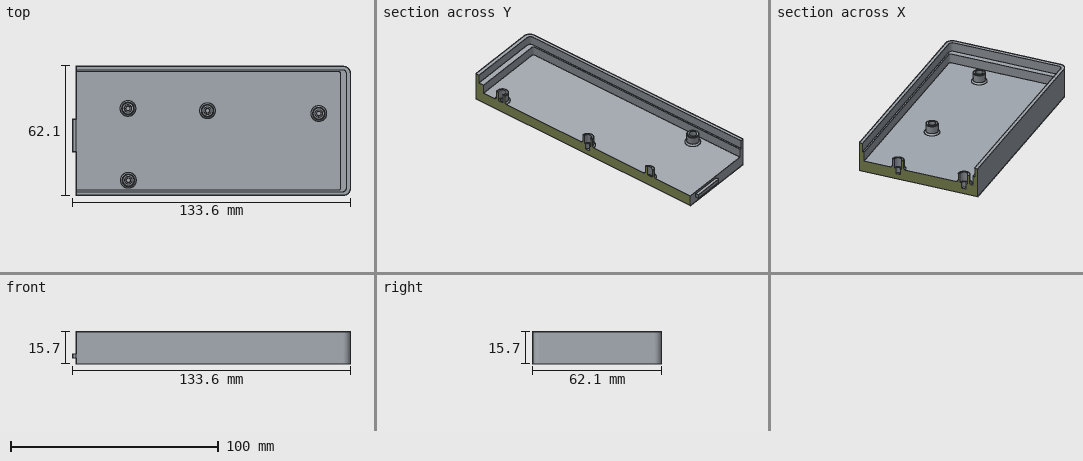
import cadquery as cq

body_length = 132.0
body_width = 62.15
body_height = 15.7
corner_radius = 3.5

floor_height = 6.1
ledge_height = 11.0
pocket_side_wall = 2.55
pocket_end_wall = 4.85
pocket_corner_radius = 0.9
rim_side_wall = 1.7
rim_end_wall = 2.0
rim_corner_radius = 1.9

tab_projection = 1.62
tab_width = 15.7
tab_thickness = 2.0
tab_center_y = 28.8
tab_bottom = 2.9

notch_width = 1.5
notch_height = 1.9
notch_depth = 2.0
notch_center_y = 42.2

boss_positions = [(24.95, 41.85), (63.2, 40.75), (116.73, 39.4), (25.16, 7.3)]
boss_diameter = 6.0
boss_top_diameter = 5.4
boss_foot_diameter = 7.6
boss_top = ledge_height
boss_foot_height = (boss_foot_diameter - boss_diameter) / 2
bore_diameter = 3.6
pilot_diameter = 2.15
bore_depth = boss_top - floor_height
pilot_depth = 3.0


def make_body():
    block = cq.Workplane("XY").box(body_length, body_width, body_height, centered=False)
    return block.edges("|Z and >X").fillet(corner_radius)


def make_cavity(bottom, side_wall, end_wall, radius):
    """Cutter open at the -X end and at the top, with rounded corners at the +X end."""
    cutter = (
        cq.Workplane("XY")
        .workplane(offset=bottom)
        .moveTo(0, side_wall)
        .rect(body_length - end_wall, body_width - 2 * side_wall, centered=False)
        .extrude(body_height - bottom)
    )
    return cutter.edges("|Z and >X").fillet(radius)


def make_tab():
    return cq.Workplane("XY").box(
        2 * tab_projection, tab_width, tab_thickness, centered=(True, True, False)
    ).translate((0, tab_center_y, tab_bottom))


def make_notch():
    return cq.Workplane("XY").box(
        notch_depth, notch_width, notch_height, centered=(False, True, False)
    ).translate((0, notch_center_y, 0))


def make_boss():
    """Turned boss with a conical foot and a chamfered top edge, on the Z axis."""
    radius = boss_diameter / 2
    top_radius = boss_top_diameter / 2
    chamfer = radius - top_radius
    return (
        cq.Workplane("XZ")
        .moveTo(0, floor_height)
        .lineTo(boss_foot_diameter / 2, floor_height)
        .lineTo(radius, floor_height + boss_foot_height)
        .lineTo(radius, boss_top - chamfer)
        .lineTo(top_radius, boss_top)
        .lineTo(0, boss_top)
        .close()
        .revolve(360, (0, 0), (0, 1))
    )


def make_boss_hole():
    """Bore with a narrower blind pilot hole below it, on the Z axis."""
    return (
        cq.Workplane("XY")
        .workplane(offset=boss_top)
        .circle(bore_diameter / 2)
        .extrude(-bore_depth)
        .faces("<Z")
        .workplane()
        .circle(pilot_diameter / 2)
        .extrude(pilot_depth)
    )


result = make_body()
result = result.cut(make_cavity(floor_height, pocket_side_wall, pocket_end_wall, pocket_corner_radius))
result = result.cut(make_cavity(ledge_height, rim_side_wall, rim_end_wall, rim_corner_radius))
result = result.union(make_tab()).cut(make_notch())

boss = make_boss()
boss_hole = make_boss_hole()
for x, y in boss_positions:
    result = result.union(boss.translate((x, y, 0)))
    result = result.cut(boss_hole.translate((x, y, 0)))